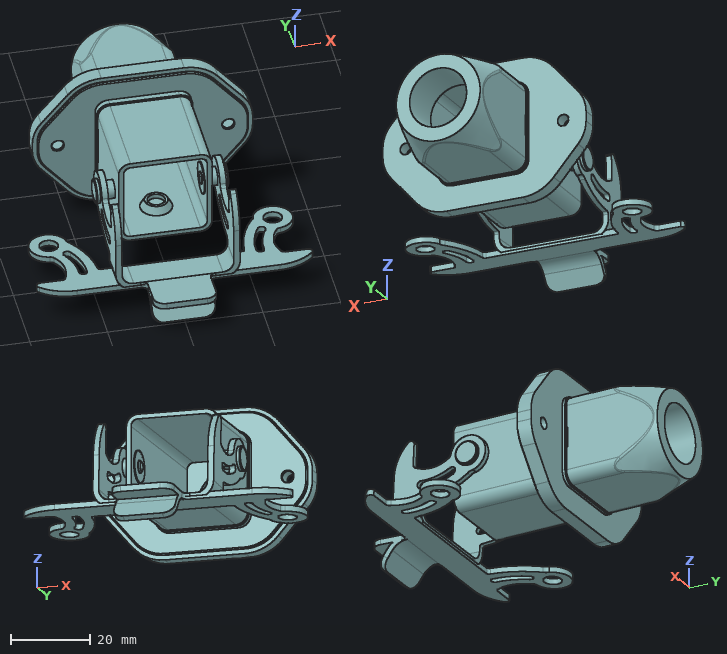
import cadquery as cq
import math


shell_side = 24.1
shell_corner = 3.1
shell_rear = 27.05
shell_front = -31.6
wall = 1.3
cavity_corner = shell_corner - wall
bore_diameter = 15.9
bore_length = 12.3
half_side = shell_side / 2

cone_end_radius = 11.7
cone_slope = 0.32
cone_length = 17.0
cone_edge_round = 1.0

flange_width = 56.7
flange_height = 38.0
flange_thick = 4.1
flange_top_half = 15.9
flange_side_half = 4.7
flange_top_round = 11.5
flange_side_round = 9.0
flange_hole_diameter = 3.1
flange_hole_x = 21.9
gasket_inset = 1.2
gasket_thick = 0.6
gasket_edge = 0.3
gasket_hole_diameter = 3.2

collar_outset = 0.3
collar_edge = 0.25
collar_rear = 1.0
collar_front = -6.6
pad_overhang = 0.3
pad_outset = 0.2
front_pad_height = 10.0
rear_pad_height = 5.3

pin_y = -25.25
pin_diameter = 4.8
pin_head_diameter = 6.4
pin_head_thick = 1.0
pin_head_edge = 0.25
pin_tip_diameter = 3.2
pin_tip_reach = 0.5
pin_tip_edge = 0.4
pin_boss_diameter = 8.3
pin_boss_height = 0.25

screw_y = -20.5
screw_base_diameter = 8.25
screw_top_diameter = 5.95
screw_height = 2.0
screw_socket_diameter = 4.5
screw_socket_depth = 1.3

sheet = 1.6
latch_tilt = 2.7
strip_rear = 13.2
strip_front = 21.3
arm_outer_x = 16.0
arm_inner_x = arm_outer_x - sheet
bend_inner = 2.9
bend_outer = bend_inner + sheet
bend_drop = 11.9
strip_top = -bend_drop - bend_inner
strip_bottom = strip_top - sheet
strip_middle = strip_top - sheet / 2
wing_eye_x = 28.8
strip_half = wing_eye_x - bend_drop

eye_radius = 5.1
eye_hole_diameter = pin_diameter
slot_width = 2.0
slot_radius = 16.5
slot_centre = (-10.5, -12.75)
slot_start_angle = 30.0
slot_end_angle = -2.0

root_corner_start = (10.55, -strip_rear)
root_corner_mid = (10.1, -12.9)
root_corner_end = (9.95, -12.5)
back_mid = (8.6, -5.9)
back_end = (5.45, 0.2)
back_blend_mid = (4.9, 0.85)
eye_back = (4.8, 1.7)
eye_belly = (-0.85, -5.0)
belly_blend_mid = (-0.25, -5.2)
belly_start = (0.2, -5.6)
belly_mid = (1.95, -11.05)
belly_end = (1.1, -15.0)
notch_y = -15.8
notch_blend_mid = (0.8, -15.6)
notch_start_x = 0.2
claw_start_x = -5.95
claw_tip = (-6.6, -16.7)
claw_end = (-6.2, -17.8)
claw_front_mid = (-2.6, -20.15)
claw_front_x = 2.7

tongue_half = 8.1
tongue_front = 32.0
tongue_corner = 2.9
tongue_root_round = 1.6
lip_angle = 57.0
lip_bend_inner = 4.9
lip_straight = 5.2


def rounded_bar(side, corner, y_rear, y_front):
    """Square bar along Y with rounded edges."""
    bar = cq.Workplane("XZ", origin=(0, y_rear, 0)).rect(side, side).extrude(y_rear - y_front)
    return bar.edges("|Y").fillet(corner)


def x_cylinder(diameter, x_start, x_end):
    """Cylinder on the pivot axis, from x_start to x_end."""
    disc = cq.Workplane("YZ", origin=(x_start, pin_y, 0)).circle(diameter / 2)
    return disc.extrude(x_end - x_start)


def left_and_right(body):
    """The body and its mirror image in the YZ plane."""
    return [body, body.mirror("YZ")]


def flange_plate(inset, y_rear, thick):
    """Eight-sided plate with rounded corners, its outline moved inwards by inset."""
    half_w = flange_width / 2
    half_h = flange_height / 2
    plate = (
        cq.Workplane("XZ", origin=(0, y_rear, 0))
        .polyline([
            (half_w, flange_side_half), (flange_top_half, half_h),
            (-flange_top_half, half_h), (-half_w, flange_side_half),
            (-half_w, -flange_side_half), (-flange_top_half, -half_h),
            (flange_top_half, -half_h), (half_w, -flange_side_half),
        ])
        .close()
        .extrude(thick)
    )
    for normal, radius in ((">Z or <Z", flange_top_round), (">X or <X", flange_side_round)):
        plate = plate.faces(normal).edges("|Y").fillet(radius)
    if inset:
        outline = plate.faces(">Y").wires().val().offset2D(-inset)[0]
        plate = cq.Workplane(cq.Solid.extrudeLinear(outline, [], cq.Vector(0, -thick, 0)))
    return plate


def mounting_holes(diameter):
    """Cutter for the two holes through flange and gasket."""
    depth = flange_thick + gasket_thick
    return (
        cq.Workplane("XZ").pushPoints([(-flange_hole_x, 0), (flange_hole_x, 0)])
        .circle(diameter / 2).extrude(depth)
    )


def pad_bar(height, y_rear, y_front):
    """Bar across the shell whose ends are the raised pads on its left and right sides."""
    width = shell_side + 2 * pad_outset
    return cq.Workplane("XZ", origin=(0, y_rear, 0)).rect(width, height).extrude(y_rear - y_front)


def make_collar():
    """Solid collar with its pads; the cavity is cut through it later."""
    side = shell_side + 2 * collar_outset
    collar = rounded_bar(side, shell_corner + collar_outset, collar_rear, collar_front)
    collar = collar.faces("<Y or >Y").edges().chamfer(collar_edge)
    front_pads = pad_bar(front_pad_height, -flange_thick, collar_front - pad_overhang)
    rear_pads = pad_bar(rear_pad_height, collar_rear + pad_overhang, 0)
    return collar.union(front_pads).union(rear_pads)


def make_shell():
    """Solid square bar, its cable end trimmed to a cone."""
    shell = rounded_bar(shell_side, shell_corner, shell_rear, shell_front)
    base_radius = cone_end_radius + cone_slope * cone_length
    cone = cq.Workplane("XZ", origin=(0, shell_rear - cone_length, 0)).circle(base_radius)
    taper = math.degrees(math.atan(cone_slope))
    cone = cone.extrude(-cone_length, taper=taper)
    front = rounded_bar(2 * shell_side, shell_corner, shell_rear - cone_length, shell_front)
    shell = shell.intersect(cone.union(front))
    trimmed = shell.faces("%CONE").edges("not(%CIRCLE)")
    return trimmed.fillet(cone_edge_round)


def make_housing():
    """Shell with flange and collar, hollow from the front and bored from the rear."""
    housing = make_shell().union(flange_plate(0, 0, flange_thick)).union(make_collar())
    cavity_rear = shell_rear - bore_length
    cavity = rounded_bar(shell_side - 2 * wall, cavity_corner, cavity_rear, shell_front)
    bore = cq.Workplane("XZ", origin=(0, shell_rear, 0)).circle(bore_diameter / 2).extrude(bore_length)
    housing = housing.cut(cavity).cut(bore).cut(mounting_holes(flange_hole_diameter))
    inner = half_side - wall
    for boss in left_and_right(x_cylinder(pin_boss_diameter, -inner, -inner + pin_boss_height)):
        housing = housing.union(boss)
    for pin in make_pins():
        housing = housing.cut(pin)
    return housing


def make_gasket():
    """Flat seal on the front face of the flange, fitted around the collar."""
    gasket = flange_plate(gasket_inset, -flange_thick, gasket_thick)
    gasket = gasket.faces("<Y").edges().chamfer(gasket_edge)
    return gasket.cut(make_collar()).cut(make_shell()).cut(mounting_holes(gasket_hole_diameter))


def make_pins():
    """Headed pin on each side: shank through arm and wall, small tip inside."""
    inner_end = -half_side + wall + pin_boss_height
    head_outer = -arm_outer_x - pin_head_thick
    head = x_cylinder(pin_head_diameter, head_outer, -arm_outer_x)
    head = head.faces("<X").edges().chamfer(pin_head_edge)
    shank = x_cylinder(pin_diameter, -arm_outer_x, -half_side)
    tip = x_cylinder(pin_tip_diameter, -half_side, inner_end + pin_tip_reach)
    tip = tip.faces(">X").edges().chamfer(pin_tip_edge)
    return left_and_right(head.union(shank).union(tip))


def make_screw():
    """Conical screw head with a round socket, standing on the cavity floor."""
    floor = -half_side + wall
    base = screw_base_diameter / 2
    top = screw_top_diameter / 2
    profile = [(0, 0), (base, 0), (top, screw_height), (0, screw_height)]
    screw = cq.Workplane("XZ").polyline(profile).close().revolve(360, (0, 0), (0, 1))
    socket = cq.Workplane("XY", origin=(0, 0, screw_height)).circle(screw_socket_diameter / 2)
    screw = screw.cut(socket.extrude(-screw_socket_depth))
    return screw.translate((0, screw_y, floor))


def slot_point(radius, degrees):
    """Point at the given radius and angle about the centre of the curved slot."""
    angle = math.radians(degrees)
    return (slot_centre[0] + radius * math.cos(angle), slot_centre[1] + radius * math.sin(angle))


def make_hook():
    """Flat hook: pivot eye at the origin, root at X = bend_drop, forward is -Y."""
    eye_left = (-eye_radius * math.sqrt(0.5), eye_radius * math.sqrt(0.5))
    hook = (
        cq.Workplane("XY")
        .moveTo(bend_drop, -strip_rear)
        .lineTo(*root_corner_start)
        .threePointArc(root_corner_mid, root_corner_end)
        .threePointArc(back_mid, back_end)
        .threePointArc(back_blend_mid, eye_back)
        .threePointArc(eye_left, eye_belly)
        .threePointArc(belly_blend_mid, belly_start)
        .threePointArc(belly_mid, belly_end)
        .threePointArc(notch_blend_mid, (notch_start_x, notch_y))
        .lineTo(claw_start_x, notch_y)
        .threePointArc(claw_tip, claw_end)
        .threePointArc(claw_front_mid, (claw_front_x, -strip_front))
        .lineTo(bend_drop, -strip_front)
        .close()
        .extrude(sheet)
    )
    eye_hole = cq.Workplane("XY").circle(eye_hole_diameter / 2).extrude(sheet)
    outer = slot_radius + slot_width / 2
    inner = slot_radius - slot_width / 2
    mid_angle = (slot_start_angle + slot_end_angle) / 2
    end_angle = math.degrees(slot_width / 2 / slot_radius)
    front_tip = slot_point(slot_radius, slot_end_angle - end_angle)
    rear_tip = slot_point(slot_radius, slot_start_angle + end_angle)
    slot = (
        cq.Workplane("XY")
        .moveTo(*slot_point(outer, slot_start_angle))
        .threePointArc(slot_point(outer, mid_angle), slot_point(outer, slot_end_angle))
        .threePointArc(front_tip, slot_point(inner, slot_end_angle))
        .threePointArc(slot_point(inner, mid_angle), slot_point(inner, slot_start_angle))
        .threePointArc(rear_tip, slot_point(outer, slot_start_angle))
        .close()
        .extrude(sheet)
    )
    return hook.cut(eye_hole).cut(slot)


def strip_block(half_width, z_bottom, z_top):
    """Block as deep as the strip, spanning both sides of X = 0."""
    depth = strip_front - strip_rear
    block = cq.Workplane("XY").box(2 * half_width, depth, z_top - z_bottom)
    return block.translate((0, -(strip_front + strip_rear) / 2, (z_top + z_bottom) / 2))


def make_level_bracket():
    """U bracket: two upright hooks joined by a half-thickness strip."""
    bends = strip_block(arm_outer_x, strip_bottom, 0).faces("<Z").edges("|Y").fillet(bend_outer)
    hollow = strip_block(arm_inner_x, strip_top, 0).faces("<Z").edges("|Y").fillet(bend_inner)
    bracket = bends.cut(hollow)
    bracket = bracket.cut(strip_block(arm_outer_x, strip_bottom, strip_middle))
    bracket = bracket.cut(strip_block(arm_outer_x, -bend_drop, 0))
    arm = make_hook().rotate((0, 0, 0), (0, 1, 0), 90).translate((-arm_outer_x, 0, 0))
    for side in left_and_right(arm):
        bracket = bracket.union(side)
    return bracket


def make_tongue():
    """Flat tongue in front of the strip, with rounded root and tip."""
    root = tongue_half + tongue_root_round
    arc_depth = tongue_root_round * (1 - math.sqrt(0.5))
    arc_mid_x = tongue_half + arc_depth
    arc_mid_y = -strip_front - arc_depth
    return (
        cq.Workplane("XY", origin=(0, 0, strip_bottom))
        .moveTo(-root, -strip_front)
        .threePointArc((-arc_mid_x, arc_mid_y), (-tongue_half, -strip_front - tongue_root_round))
        .lineTo(-tongue_half, -tongue_front)
        .lineTo(tongue_half, -tongue_front)
        .lineTo(tongue_half, -strip_front - tongue_root_round)
        .threePointArc((arc_mid_x, arc_mid_y), (root, -strip_front))
        .close()
        .extrude(sheet)
        .faces("<Y").edges("|Z").fillet(tongue_corner)
    )


def make_lip():
    """Lip under the tongue, bent down from the front edge of the strip."""
    def bend_point(radius, degrees):
        angle = math.radians(degrees)
        return (-strip_front - radius * math.sin(angle), bend_centre_z + radius * math.cos(angle))

    def tip_point(radius):
        y, z = bend_point(radius, lip_angle)
        angle = math.radians(lip_angle)
        return (y - lip_straight * math.cos(angle), z - lip_straight * math.sin(angle))

    bend_centre_z = strip_bottom - lip_bend_inner
    outer = lip_bend_inner + sheet
    lip = (
        cq.Workplane("YZ", origin=(-tongue_half, 0, 0))
        .moveTo(*bend_point(lip_bend_inner, 0))
        .threePointArc(bend_point(lip_bend_inner, lip_angle / 2), bend_point(lip_bend_inner, lip_angle))
        .lineTo(*tip_point(lip_bend_inner))
        .lineTo(*tip_point(outer))
        .lineTo(*bend_point(outer, lip_angle))
        .threePointArc(bend_point(outer, lip_angle / 2), bend_point(outer, 0))
        .close()
        .extrude(2 * tongue_half)
    )
    tip_y, tip_z = tip_point(lip_bend_inner + sheet / 2)
    for x in (-tongue_half, tongue_half):
        corner = cq.selectors.BoxSelector(
            (x - sheet, tip_y - sheet, tip_z - sheet),
            (x + sheet, tip_y + sheet, tip_z + sheet),
        )
        lip = lip.edges(corner).fillet(tongue_corner)
    return lip


def make_level_lever():
    """Plate with two flat hooks as wings, tongue and lip; the bracket strip is let into it."""
    lever = strip_block(strip_half, strip_bottom, strip_top)
    wing = make_hook().translate((-wing_eye_x, 0, strip_bottom))
    for part in [*left_and_right(wing), make_tongue(), make_lip()]:
        lever = lever.union(part)
    return lever.cut(make_level_bracket())


def hang_on_pins(body):
    """Tilt a latch body about the pivot axis and move it to the pins."""
    return body.rotate((0, 0, 0), (1, 0, 0), -latch_tilt).translate((0, pin_y, 0))


housing = make_housing()
gasket = make_gasket()
pins = make_pins()
screw = make_screw()
bracket = hang_on_pins(make_level_bracket())
lever = hang_on_pins(make_level_lever())

result = cq.Compound.makeCompound([
    housing.val(), gasket.val(), *[pin.val() for pin in pins],
    screw.val(), bracket.val(), lever.val(),
])